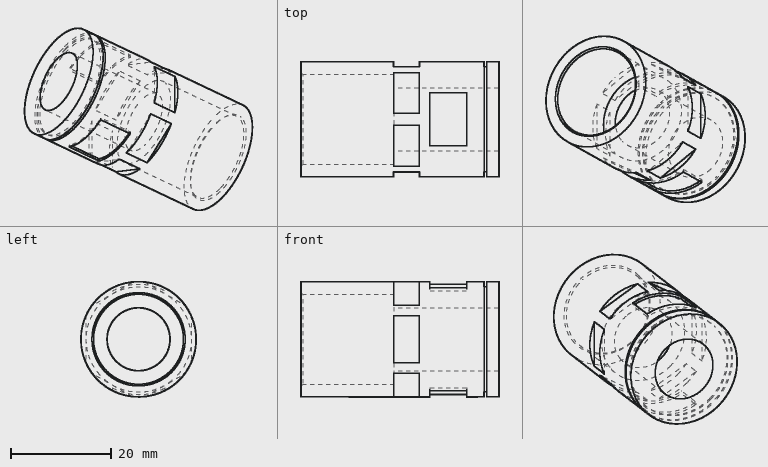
import cadquery as cq
import math

length = 39.5
outer_diameter = 23.0

through_diameter = 12.5
socket_diameter = 17.93
socket_mouth_diameter = 18.6
mouth_chamfer = (socket_mouth_diameter - socket_diameter) / 2

flat_count = 6
across_flats = 21.0
flats_start = 18.5
flats_length = 5.1

socket_depth = flats_start

recess_start = 25.7
recess_length = 7.3
recess_width = 10.5
recess_floor_diameter = 22.0

groove_diameter = 21.0
groove_width = 0.5
collar_width = 2.5
groove_start = length - collar_width - groove_width


def cylinder(start, width, diameter):
    """Solid cylinder on the X axis."""
    return cq.Workplane("YZ").workplane(offset=start).circle(diameter / 2).extrude(width)


def ring(start, width, inner_diameter):
    """Ring of material between an inner diameter and the outer surface."""
    return cylinder(start, width, outer_diameter).cut(cylinder(start, width, inner_diameter))


def wrench_flats():
    """Material outside a hexagon that has two flats facing +Y and -Y."""
    across_corners = across_flats / math.cos(math.pi / flat_count)
    half_turn_between_flats = 180 / flat_count
    hexagon = (
        cq.Workplane("YZ")
        .workplane(offset=flats_start)
        .polygon(flat_count, across_corners)
        .extrude(flats_length)
        .rotate((0, 0, 0), (1, 0, 0), half_turn_between_flats)
    )
    return cylinder(flats_start, flats_length, outer_diameter).cut(hexagon)


def recesses():
    """Parallel-sided recesses on the +Z and -Z sides."""
    slab = cq.Workplane("XY").box(
        recess_length, recess_width, outer_diameter, centered=(False, True, True)
    )
    slab = slab.translate((recess_start, 0, 0))
    return ring(recess_start, recess_length, recess_floor_diameter).intersect(slab)


def bore():
    """Through hole, wider socket and the chamfer at the socket mouth."""
    profile = [
        (0, 0),
        (0, socket_mouth_diameter / 2),
        (mouth_chamfer, socket_diameter / 2),
        (socket_depth, socket_diameter / 2),
        (socket_depth, through_diameter / 2),
        (length, through_diameter / 2),
        (length, 0),
    ]
    return cq.Workplane("XY").polyline(profile).close().revolve(360, (0, 0, 0), (1, 0, 0))


body = cylinder(0, length, outer_diameter)
body = body.cut(wrench_flats())
body = body.cut(recesses())
body = body.cut(ring(groove_start, groove_width, groove_diameter))
result = body.cut(bore())